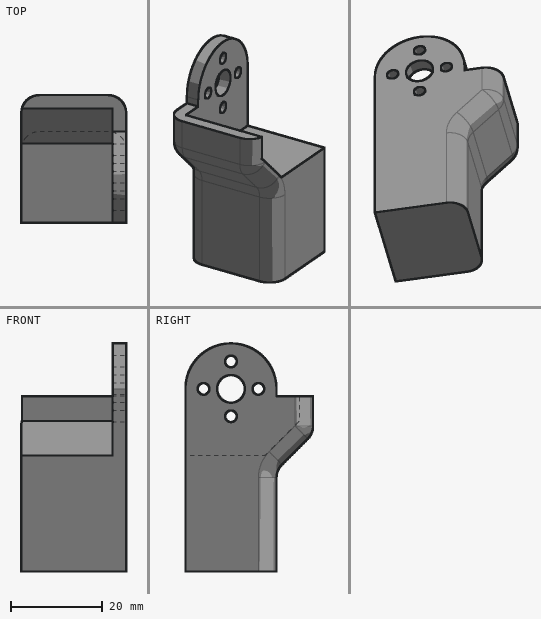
import cadquery as cq

total_height = 50.0
width = 23.0
body_depth = 20.0
overhang = 8.0
full_depth = body_depth + overhang
shoulder_height = 38.4
bend_start = 22.25
bend_end = bend_start + overhang
round_radius = 4.0

wall = 3.0
seat_height = 25.4
seat_depth = 17.4
slope_run = full_depth - wall - seat_depth

lug_radius = body_depth / 2
lug_center_y = body_depth / 2
lug_center_z = total_height - lug_radius
bore_diameter = 6.0
screw_diameter = 2.5
screw_circle_radius = 6.0
screw_count = 4


def make_body():
    """Block leaning out at the back, with all back edges rounded."""
    block = (
        cq.Workplane("YZ")
        .moveTo(0, 0)
        .lineTo(body_depth, 0)
        .lineTo(body_depth, bend_start)
        .lineTo(full_depth, bend_end)
        .lineTo(full_depth, shoulder_height)
        .lineTo(0, shoulder_height)
        .close()
        .extrude(width)
    )
    back_faces = block.faces("not (<X or >X or <Y or <Z or >Z)")
    edges = back_faces.edges("not (<Z or >Z)")
    return edges.fillet(round_radius)


def make_seat_cutter():
    """Flat seat with a 45 degree slope rising to the back wall."""
    return (
        cq.Workplane("YZ")
        .moveTo(0, seat_height)
        .lineTo(seat_depth, seat_height)
        .lineTo(seat_depth + slope_run, seat_height + slope_run)
        .lineTo(seat_depth + slope_run, shoulder_height)
        .lineTo(0, shoulder_height)
        .close()
        .extrude(width - wall)
    )


def make_lug():
    """Round-topped plate continuing the +X side wall upward."""
    return (
        cq.Workplane("YZ", origin=(width - wall, 0, 0))
        .moveTo(0, shoulder_height)
        .lineTo(body_depth, shoulder_height)
        .lineTo(body_depth, lug_center_z)
        .threePointArc((lug_center_y, lug_center_z + lug_radius), (0, lug_center_z))
        .close()
        .extrude(wall)
    )


def make_hole_cutter():
    """Central bore and a ring of screw holes through the plate."""
    plane = cq.Workplane("YZ", origin=(width - wall, lug_center_y, lug_center_z))
    bore = plane.circle(bore_diameter / 2).extrude(wall)
    screws = plane.polarArray(screw_circle_radius, 0, 360, screw_count).circle(screw_diameter / 2).extrude(wall)
    return bore.union(screws)


result = make_body().cut(make_seat_cutter()).union(make_lug()).cut(make_hole_cutter())